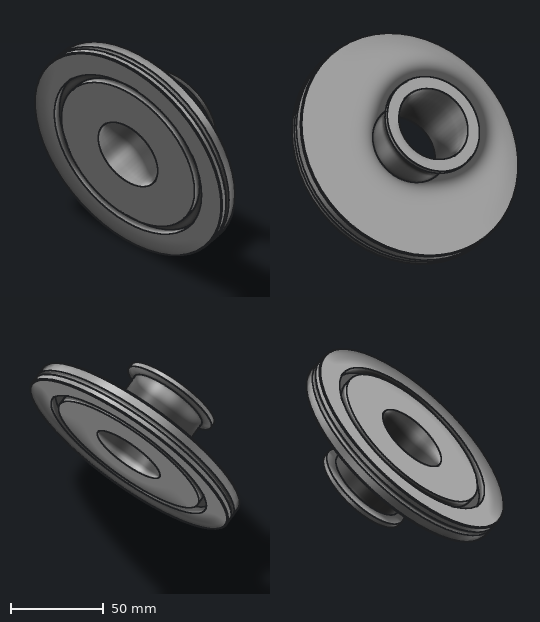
import cadquery as cq

total_length = 42.0

flange_diameter = 130.0
flange_thickness = 12.1
front_chamfer = 0.5
back_bevel_length = 0.8
back_bevel_depth = 0.5

rim_groove_radius = 1.3
rim_groove_offset = 5.0

face_groove_outer_diameter = 102.0
face_groove_inner_diameter = 92.2
face_groove_depth = 4.4

bore_diameter = 41.2
tube_diameter = 44.5
clamp_diameter = 55.0
clamp_rim_thickness = 3.0
clamp_taper_length = 1.4

flange_radius = flange_diameter / 2
tube_radius = tube_diameter / 2
clamp_radius = clamp_diameter / 2


def make_body():
    """Revolve the solid outer profile about the Y axis."""
    clamp_rim_start = total_length - clamp_rim_thickness
    clamp_taper_start = clamp_rim_start - clamp_taper_length
    groove_front = rim_groove_offset - rim_groove_radius
    groove_back = rim_groove_offset + rim_groove_radius
    groove_bottom = flange_radius - rim_groove_radius
    return (
        cq.Workplane("XY")
        .lineTo(flange_radius - front_chamfer, 0)
        .lineTo(flange_radius, front_chamfer)
        .lineTo(flange_radius, groove_front)
        .threePointArc((groove_bottom, rim_groove_offset), (flange_radius, groove_back))
        .lineTo(flange_radius, flange_thickness - back_bevel_length)
        .lineTo(flange_radius - back_bevel_depth, flange_thickness)
        .lineTo(tube_radius, flange_thickness)
        .lineTo(tube_radius, clamp_taper_start)
        .lineTo(clamp_radius, clamp_rim_start)
        .lineTo(clamp_radius, total_length)
        .lineTo(0, total_length)
        .close()
        .revolve(360, (0, 0, 0), (0, 1, 0))
    )


def make_face_groove():
    """Ring removed from the flange face, running inward along +Y."""
    return (
        cq.Workplane("XZ")
        .circle(face_groove_outer_diameter / 2)
        .circle(face_groove_inner_diameter / 2)
        .extrude(-face_groove_depth)
    )


def make_bore():
    """Through bore along the whole axis."""
    return cq.Workplane("XZ").circle(bore_diameter / 2).extrude(-total_length)


result = make_body().cut(make_face_groove()).cut(make_bore())